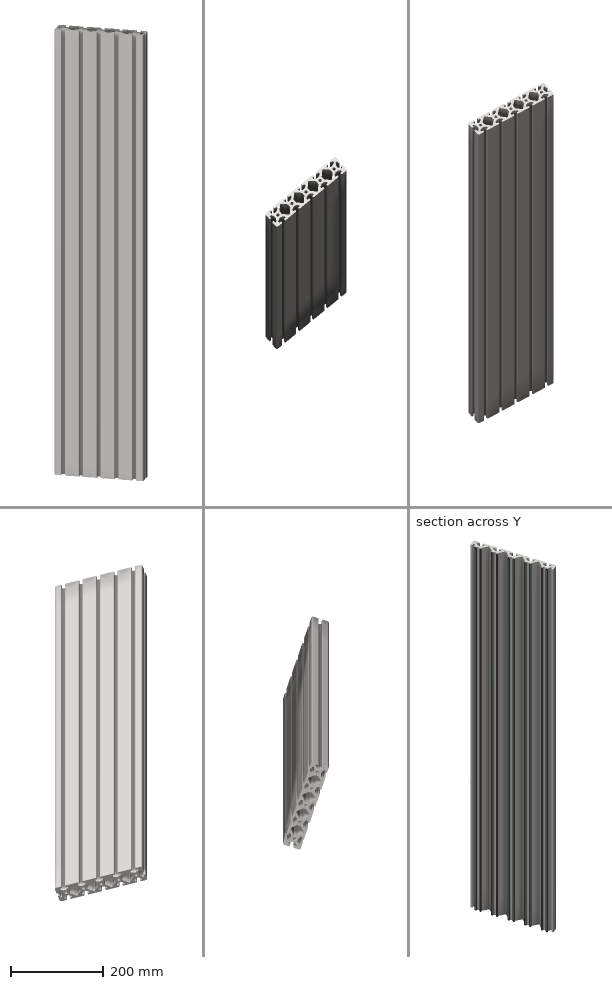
import cadquery as cq

length = 1000.0
cell = 40.0
cell_count = 5
width = cell * cell_count
corner_radius = 4.0

mouth_width = 8.0
mouth_radius = 1.5
lip_thickness = 4.5
undercut_width = 18.0
undercut_side = 4.0
floor_width = 5.0
slot_depth = 12.0

bore_diameter = 6.8

hollow_width = 24.0
hollow_height = 30.0
hollow_chamfer = 11.0

half_cell = cell / 2
cell_centers = [(i - (cell_count - 1) / 2) * cell for i in range(cell_count)]
hollow_centers = [x + half_cell for x in cell_centers[:-1]]


def t_slot(cell_x, angle):
    """T-slot with sloping flanks, in the cell face at the given angle from +Y."""
    mouth = mouth_width / 2
    undercut = undercut_width / 2
    floor = floor_width / 2
    lip_y = half_cell - lip_thickness
    flank_y = lip_y - undercut_side
    floor_y = half_cell - slot_depth
    chamber = (
        cq.Workplane("XY")
        .polyline(
            [
                (-floor, floor_y),
                (floor, floor_y),
                (undercut, flank_y),
                (undercut, lip_y),
                (-undercut, lip_y),
                (-undercut, flank_y),
            ]
        )
        .close()
        .extrude(length)
    )
    flare = mouth + mouth_radius
    round_y = half_cell - mouth_radius
    opening = (
        cq.Workplane("XY")
        .moveTo(-mouth, lip_y)
        .lineTo(mouth, lip_y)
        .lineTo(mouth, round_y)
        .radiusArc((flare, half_cell), mouth_radius)
        .lineTo(-flare, half_cell)
        .radiusArc((-mouth, round_y), mouth_radius)
        .close()
        .extrude(length)
    )
    slot = chamber.union(opening)
    return slot.rotate((0, 0, 0), (0, 0, 1), angle).translate((cell_x, 0, 0))


profile = cq.Workplane("XY").rect(width, cell).extrude(length).edges("|Z").fillet(corner_radius)

for center_x in cell_centers:
    profile = profile.cut(t_slot(center_x, 0)).cut(t_slot(center_x, 180))
profile = profile.cut(t_slot(cell_centers[0], 90))
profile = profile.cut(t_slot(cell_centers[-1], -90))

hollows = (
    cq.Workplane("XY")
    .pushPoints([(x, 0) for x in hollow_centers])
    .rect(hollow_width, hollow_height)
    .extrude(length)
    .edges("|Z")
    .chamfer(hollow_chamfer)
)
profile = profile.cut(hollows)

bores = (
    cq.Workplane("XY")
    .pushPoints([(x, 0) for x in cell_centers])
    .circle(bore_diameter / 2)
    .extrude(length)
)
profile = profile.cut(bores)

result = profile.translate((0, 0, -length / 2))